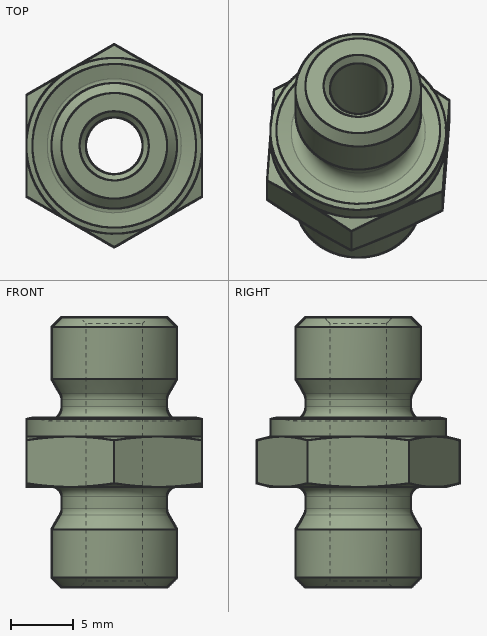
import cadquery as cq
import math

total_length = 21.5
stud_length = 8.0
collar_height = 1.5

across_flats = 14.0
hex_corner_angle = 15.0

thread_radius = 10.0 / 2
neck_radius = 8.4 / 2
end_chamfer = thread_radius - neck_radius
upper_thread_end = 4.92
lower_thread_end = 4.62
relief_angle = 30.0
relief_radius = 0.99
lower_root_radius = 0.77

seal_edge_radius = 6.51
seal_inner_radius = 5.33
seal_depth = 0.25
seal_edge_drop = 0.1
upper_root_radius = seal_inner_radius - neck_radius

bore_diameter = 4.5
bore_mouth_diameter = 5.5

collar_radius = across_flats / 2
corner_radius = collar_radius / math.cos(math.radians(30))
hex_bottom = stud_length
collar_top = total_length - stud_length
hex_top = collar_top - collar_height


def fillet_mid_offset(radius):
    """Distance of a quarter-round fillet's midpoint from either tangent line."""
    return radius * (1 - math.sqrt(0.5))


def stud(root_radius, root_level, thread_end):
    """Threaded end pointing up from Z = 0, with its end face at stud_length.

    root_level is the height where the root fillet meets the shoulder.
    """
    angle = math.radians(relief_angle)
    cone_top = stud_length - thread_end
    cone_foot_radius = neck_radius + relief_radius * (1 - math.cos(angle))
    cone_foot = cone_top - (thread_radius - cone_foot_radius) / math.tan(angle)
    neck_top = cone_foot - relief_radius * math.sin(angle)
    relief_mid = (
        neck_radius + relief_radius * (1 - math.cos(angle / 2)),
        neck_top + relief_radius * math.sin(angle / 2),
    )
    root_mid_offset = fillet_mid_offset(root_radius)
    return (
        cq.Workplane("XZ")
        .moveTo(0, root_level)
        .lineTo(neck_radius + root_radius, root_level)
        .threePointArc(
            (neck_radius + root_mid_offset, root_level + root_mid_offset),
            (neck_radius, root_level + root_radius),
        )
        .lineTo(neck_radius, neck_top)
        .threePointArc(relief_mid, (cone_foot_radius, cone_foot))
        .lineTo(thread_radius, cone_top)
        .lineTo(thread_radius, stud_length - end_chamfer)
        .lineTo(thread_radius - end_chamfer, stud_length)
        .lineTo(0, stud_length)
        .close()
        .revolve(360, (0, 0, 0), (0, 1, 0))
    )


def hexagon():
    """Hexagon with corners on the Y axis and both ends chamfered."""
    corner_drop = (corner_radius - collar_radius) * math.tan(math.radians(hex_corner_angle))
    prism = (
        cq.Workplane("XY", origin=(0, 0, hex_bottom))
        .polygon(6, 2 * corner_radius)
        .extrude(hex_top - hex_bottom)
        .rotate((0, 0, 0), (0, 0, 1), 30)
    )
    chamfer_envelope = (
        cq.Workplane("XZ")
        .polyline([
            (0, hex_bottom),
            (collar_radius, hex_bottom),
            (corner_radius, hex_bottom + corner_drop),
            (corner_radius, hex_top - corner_drop),
            (collar_radius, hex_top),
            (0, hex_top),
        ])
        .close()
        .revolve(360, (0, 0, 0), (0, 1, 0))
    )
    return prism.intersect(chamfer_envelope)


def collar():
    """Round collar with a raised sealing edge and a dished sealing face."""
    return (
        cq.Workplane("XZ")
        .polyline([
            (0, hex_top),
            (collar_radius, hex_top),
            (collar_radius, collar_top - seal_edge_drop),
            (seal_edge_radius, collar_top),
            (seal_inner_radius, collar_top - seal_depth),
            (0, collar_top - seal_depth),
        ])
        .close()
        .revolve(360, (0, 0, 0), (0, 1, 0))
    )


def bore():
    """Through bore with a 45 degree chamfer at both mouths."""
    bore_radius = bore_diameter / 2
    mouth_radius = bore_mouth_diameter / 2
    mouth_depth = mouth_radius - bore_radius
    return (
        cq.Workplane("XZ")
        .polyline([
            (0, 0),
            (mouth_radius, 0),
            (bore_radius, mouth_depth),
            (bore_radius, total_length - mouth_depth),
            (mouth_radius, total_length),
            (0, total_length),
        ])
        .close()
        .revolve(360, (0, 0, 0), (0, 1, 0))
    )


upper_stud = stud(upper_root_radius, -seal_depth, upper_thread_end).translate((0, 0, collar_top))
lower_stud = (
    stud(lower_root_radius, 0, lower_thread_end)
    .rotate((0, 0, 0), (1, 0, 0), 180)
    .translate((0, 0, hex_bottom))
)

result = hexagon().union(collar()).union(upper_stud).union(lower_stud).cut(bore())